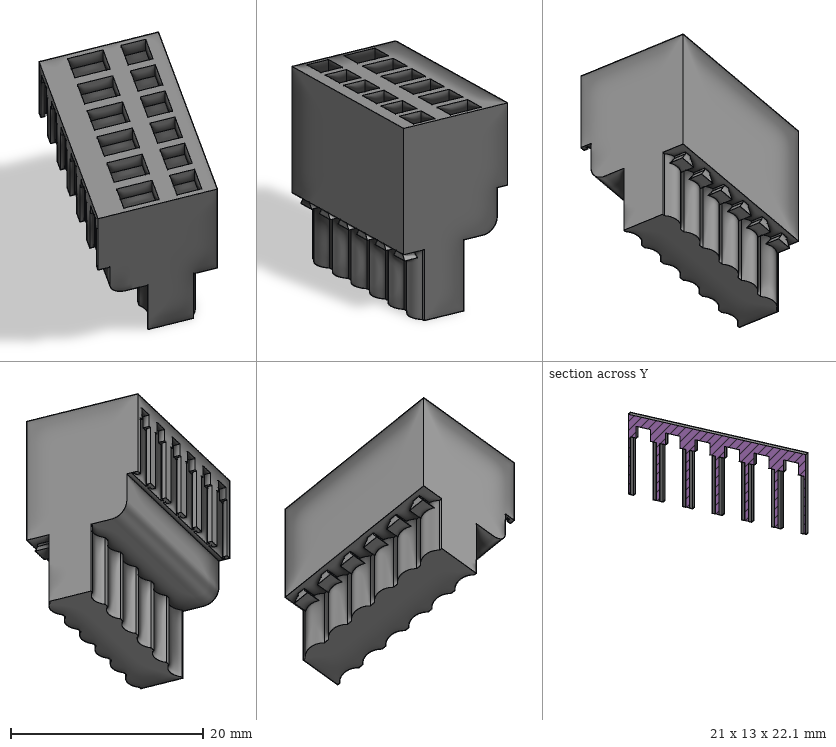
import cadquery as cq
POLE_COUNT = 6
POLE_PITCH = 3.5

WIDTH = 21.0
DEPTH = 13.0
HEIGHT = 22.1
FRONT = -DEPTH / 2
BACK = DEPTH / 2

BODY_HEIGHT = 14.15
SKIRT_HEIGHT = 9.22
FRONT_SETBACK = 1.28
LOWER_EDGE_RADIUS = 1.8
BODY_BOTTOM = HEIGHT - BODY_HEIGHT
SKIRT_BOTTOM = HEIGHT - SKIRT_HEIGHT

PLUG_BACK = BACK - 2.59
PLUG_FRONT = BACK - 7.54
FLUTE_WIDTH = 2.9
FLUTE_DEPTH = 0.65

KEY_BACK = BACK - 0.62
KEY_NECK_WIDTH = 0.97
KEY_FOOT_WIDTH = 2.03
KEY_NECK_HEIGHT = 0.27
KEY_HEIGHT = 1.08

END_WALL = 0.5
POCKET_DEPTH = 2.01
REAR_POCKET_SIZE = 2.7
REAR_POCKET_OFFSET = 1.55
FRONT_POCKET_WIDTH = 2.59
FRONT_POCKET_LENGTH = 3.85
FRONT_POCKET_OFFSET = 6.19

RECESS_LIP = 0.49
RECESS_DEPTH = 0.73
RECESS_UNDERCUT = 0.35
RECESS_WIDTH = 2.32
RECESS_TAB_WIDTH = 1.7
RECESS_TOP = HEIGHT - 1.24
RECESS_SHOULDER = HEIGHT - 2.59

POLE_POSITIONS = [(i - (POLE_COUNT - 1) / 2) * POLE_PITCH for i in range(POLE_COUNT)]


def box(width, y_front, y_back, z_low, z_high, x=0.0):
    """Block centred on x, between the given Y and Z limits."""
    size = (width, y_back - y_front, z_high - z_low)
    return cq.Workplane("XY").box(*size, centered=(True, False, False)).translate((x, y_front, z_low))


def make_body():
    wall_front = FRONT + FRONT_SETBACK
    upper = box(WIDTH, FRONT, BACK, SKIRT_BOTTOM, HEIGHT)
    lower = box(WIDTH, wall_front, BACK, BODY_BOTTOM, SKIRT_BOTTOM)
    lower = lower.edges("|X and <Y and <Z").fillet(LOWER_EDGE_RADIUS)
    return upper.union(lower)


def flute(x, y_face):
    """Upright rounded segment with its flat side on y_face and its crown toward +Y."""
    half_width = FLUTE_WIDTH / 2
    return (
        cq.Workplane("XY")
        .moveTo(x - half_width, y_face)
        .threePointArc((x, y_face + FLUTE_DEPTH), (x + half_width, y_face))
        .close()
        .extrude(BODY_BOTTOM)
    )


def make_plug():
    """Block with hollow flutes along its front and matching bulges along its back."""
    plug = box(WIDTH, PLUG_FRONT, PLUG_BACK, 0, BODY_BOTTOM)
    for x in POLE_POSITIONS:
        plug = plug.cut(flute(x, PLUG_FRONT)).union(flute(x, PLUG_BACK))
    return plug


def coding_key(x):
    """Rib with a straight neck that flares out to a wide foot."""
    half_neck = KEY_NECK_WIDTH / 2
    half_foot = KEY_FOOT_WIDTH / 2
    neck_bottom = BODY_BOTTOM - KEY_NECK_HEIGHT
    foot_bottom = BODY_BOTTOM - KEY_HEIGHT
    outline = [
        (x - half_neck, BODY_BOTTOM),
        (x - half_neck, neck_bottom),
        (x - half_foot, foot_bottom),
        (x + half_foot, foot_bottom),
        (x + half_neck, neck_bottom),
        (x + half_neck, BODY_BOTTOM),
    ]
    key = cq.Workplane("XZ").polyline(outline).close().extrude(KEY_BACK - PLUG_BACK)
    return key.translate((0, KEY_BACK, 0))


def top_pocket(x, width, length, offset):
    """Rectangular pocket whose rear wall lies at the given offset from the back face."""
    y_back = BACK - offset
    pocket = box(width, y_back - length, y_back, HEIGHT - POCKET_DEPTH, HEIGHT, x)
    between_end_walls = box(WIDTH - 2 * END_WALL, FRONT, BACK, 0, HEIGHT)
    return pocket.intersect(between_end_walls)


def front_recess(x):
    """Recess open at the bottom, undercut behind its lip, with a narrower tab on top."""
    lip_back = FRONT + RECESS_LIP
    floor = FRONT + RECESS_DEPTH
    undercut_width = RECESS_WIDTH + 2 * RECESS_UNDERCUT
    opening = box(RECESS_WIDTH, FRONT, lip_back, SKIRT_BOTTOM, RECESS_SHOULDER, x)
    undercut = box(undercut_width, lip_back, floor, SKIRT_BOTTOM, RECESS_SHOULDER, x)
    tab = box(RECESS_TAB_WIDTH, FRONT, floor, RECESS_SHOULDER, RECESS_TOP, x)
    return opening.union(undercut).union(tab)


result = make_body().union(make_plug())
for pole_x in POLE_POSITIONS:
    rear_pocket = top_pocket(pole_x, REAR_POCKET_SIZE, REAR_POCKET_SIZE, REAR_POCKET_OFFSET)
    front_pocket = top_pocket(pole_x, FRONT_POCKET_WIDTH, FRONT_POCKET_LENGTH, FRONT_POCKET_OFFSET)
    result = result.union(coding_key(pole_x))
    result = result.cut(rear_pocket).cut(front_pocket).cut(front_recess(pole_x))